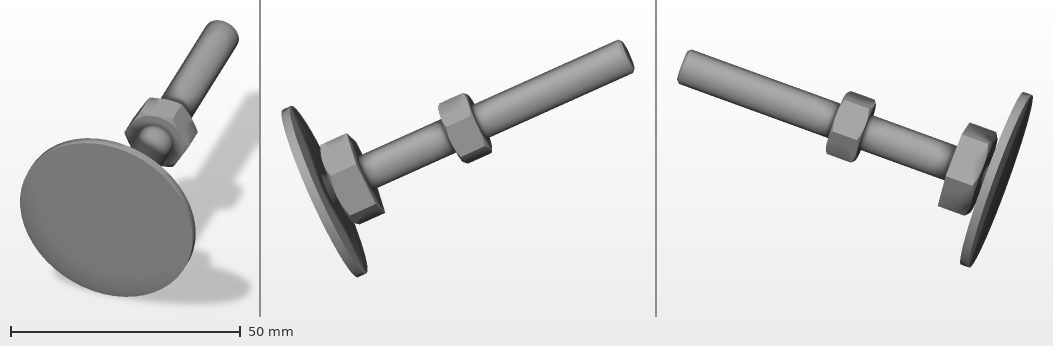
import cadquery as cq
import math

total_length = 74.0

plate_diameter = 40.0
plate_thickness = 2.0
neck_height = 2.0
neck_base_diameter = 7.6
neck_top_diameter = 4.0

stud_diameter = 8.0
stud_tip_chamfer = 0.7
head_across_corners = 20.0
head_height = 6.95
head_start = plate_thickness + neck_height

nut_across_flats = 13.0
nut_thickness = 6.8
nut_start = 31.45

HEX_RATIO = math.cos(math.radians(30))
CHAMFER_SLOPE = math.tan(math.radians(30))

nut_across_corners = nut_across_flats / HEX_RATIO


def revolve_about_y(points):
    """Turn a half profile of (radius, Y) points about the Y axis."""
    return cq.Workplane("XY").polyline(points).close().revolve(360, (0, 0, 0), (0, 1, 0))


def hexagon(across_corners, height, start):
    """Hexagonal prism along +Y, with two corners on the X axis."""
    return (
        cq.Workplane("XZ", origin=(0, start, 0))
        .polygon(6, across_corners)
        .extrude(-height)
    )


def chamfered_hexagon(across_corners, height, start, chamfer_far_end):
    """Hexagonal prism whose corners are cut by a cone at the start and, if asked, at the far end."""
    corner_radius = across_corners / 2
    face_radius = corner_radius * HEX_RATIO
    chamfer_height = (corner_radius - face_radius) * CHAMFER_SLOPE
    end = start + height

    envelope_points = [(0, start), (face_radius, start), (corner_radius, start + chamfer_height)]
    if chamfer_far_end:
        envelope_points += [(corner_radius, end - chamfer_height), (face_radius, end)]
    else:
        envelope_points += [(corner_radius, end)]
    envelope_points += [(0, end)]
    return hexagon(across_corners, height, start).intersect(revolve_about_y(envelope_points))


def make_foot_plate():
    """Round plate with a conical neck that carries the stud."""
    return revolve_about_y([
        (0, 0),
        (plate_diameter / 2, 0),
        (plate_diameter / 2, plate_thickness),
        (neck_base_diameter / 2, plate_thickness),
        (neck_top_diameter / 2, head_start),
        (0, head_start),
    ])


def make_stud():
    """Round stud with a hexagonal head at its lower end and a chamfered tip."""
    stud_radius = stud_diameter / 2
    shank = revolve_about_y([
        (0, head_start),
        (stud_radius, head_start),
        (stud_radius, total_length - stud_tip_chamfer),
        (stud_radius - stud_tip_chamfer, total_length),
        (0, total_length),
    ])
    head = chamfered_hexagon(head_across_corners, head_height, head_start, chamfer_far_end=False)
    return shank.union(head)


def make_lock_nut():
    """Hexagonal nut, chamfered at both ends and bored to fit the stud."""
    blank = chamfered_hexagon(nut_across_corners, nut_thickness, nut_start, chamfer_far_end=True)
    bore = (
        cq.Workplane("XZ", origin=(0, nut_start, 0))
        .circle(stud_diameter / 2)
        .extrude(-nut_thickness)
    )
    return blank.cut(bore)


foot_plate = make_foot_plate()
stud = make_stud()
lock_nut = make_lock_nut()

result = cq.Compound.makeCompound([foot_plate.val(), stud.val(), lock_nut.val()])